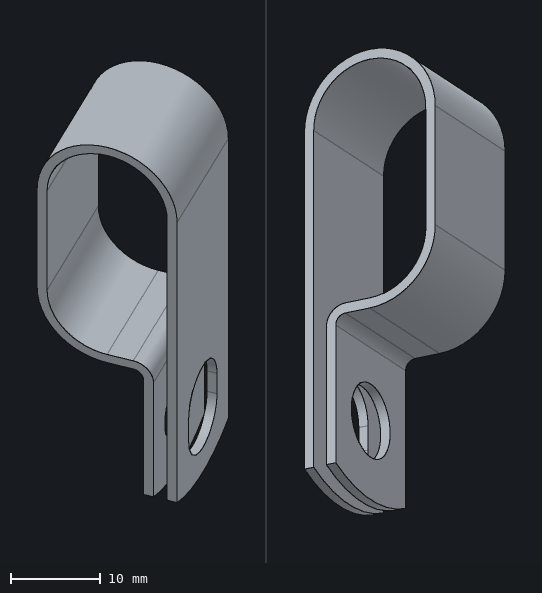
import cadquery as cq

height = 50.3
loop_width = 16.7
strip_width = 15.9
thickness = 1.2
loop_straight = 14.25
tab_gap = 1.6
bend_inner_radius = 1.2
hole_diameter = 8.75
slot_length = 11.65
hole_height = 9.45
tip_rise = 1.7

outer_radius = loop_width / 2
inner_radius = outer_radius - thickness
bend_outer_radius = bend_inner_radius + thickness
upper_center_z = height - outer_radius
lower_center_z = upper_center_z - loop_straight
floor_bottom_z = lower_center_z - outer_radius
floor_top_z = floor_bottom_z + thickness
tab_outer_x = inner_radius - tab_gap
tab_inner_x = tab_outer_x - thickness
bend_x = tab_outer_x - bend_outer_radius
bend_z = floor_top_z - bend_outer_radius
half_width = strip_width / 2


def bent_strip():
    """Strip bent into a loop with a long and a short tab, extruded along Y."""
    return (
        cq.Workplane("XZ")
        .moveTo(outer_radius, 0)
        .lineTo(outer_radius, upper_center_z)
        .threePointArc((0, height), (-outer_radius, upper_center_z))
        .lineTo(-outer_radius, lower_center_z)
        .radiusArc((0, floor_bottom_z), -outer_radius)
        .lineTo(bend_x, floor_bottom_z)
        .radiusArc((tab_inner_x, bend_z), bend_inner_radius)
        .lineTo(tab_inner_x, 0)
        .lineTo(tab_outer_x, 0)
        .lineTo(tab_outer_x, bend_z)
        .radiusArc((bend_x, floor_top_z), -bend_outer_radius)
        .lineTo(0, floor_top_z)
        .radiusArc((-inner_radius, lower_center_z), inner_radius)
        .lineTo(-inner_radius, upper_center_z)
        .threePointArc((0, height - thickness), (inner_radius, upper_center_z))
        .lineTo(inner_radius, 0)
        .close()
        .extrude(half_width, both=True)
    )


def side_envelope():
    """Side outline of the clip: straight sides and a rounded lower end."""
    return (
        cq.Workplane("YZ")
        .moveTo(-half_width, tip_rise)
        .threePointArc((0, 0), (half_width, tip_rise))
        .lineTo(half_width, height)
        .lineTo(-half_width, height)
        .close()
        .extrude(outer_radius, both=True)
    )


def screw_hole():
    """Cutter for the round screw hole in the short tab."""
    return (
        cq.Workplane("YZ", origin=(tab_inner_x, 0, hole_height))
        .circle(hole_diameter / 2)
        .extrude(thickness)
    )


def screw_slot():
    """Cutter for the upright screw slot in the long tab."""
    return (
        cq.Workplane("YZ", origin=(inner_radius, 0, hole_height))
        .slot2D(slot_length, hole_diameter, 90)
        .extrude(thickness)
    )


result = bent_strip().intersect(side_envelope()).cut(screw_hole()).cut(screw_slot())